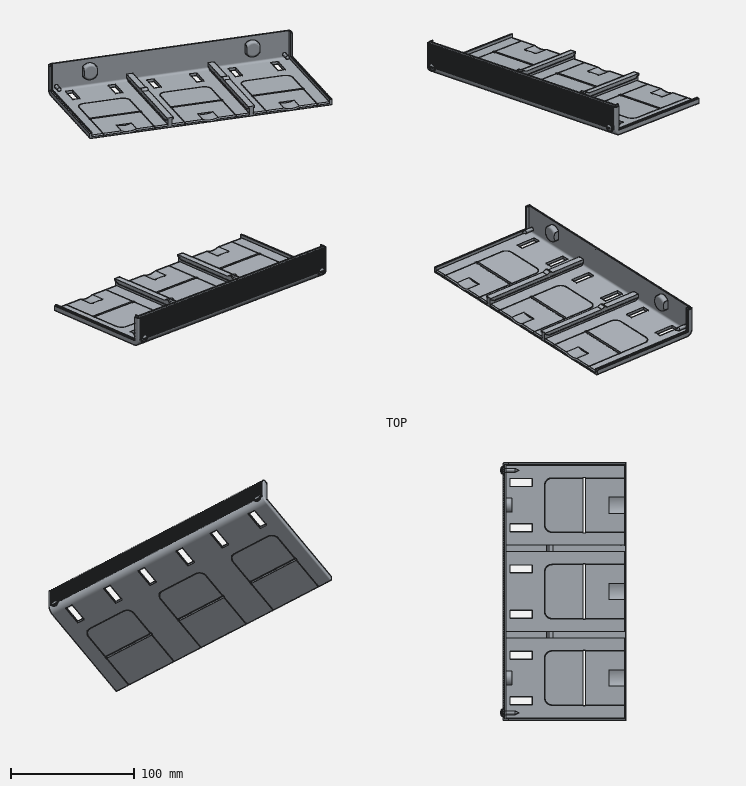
import cadquery as cq
import math


LENGTH = 209.0
DEPTH = 99.7
HEIGHT = 26.8
WALL = 2.5
STEP = 1.35
RIM_Z = HEIGHT - STEP
OUTER_BEND = 5.9
INNER_BEND = 2.0
END_ROUND = 1.3
OPEN_EDGE_CHAMFER = 1.0
END_LAYER_WIDTH = 4.5
TONGUE_WIDTH = 5.2
TONGUE_THICKNESS = 0.8

GROOVE_COUNT = 114
GROOVE_SPAN = 205.0
GROOVE_WIDTH = 1.3
GROOVE_PITCH = (GROOVE_SPAN - GROOVE_WIDTH) / (GROOVE_COUNT - 1)

BAY_PITCH = 70.0
OUTER_BAYS = [-BAY_PITCH, BAY_PITCH]
BAYS = [-BAY_PITCH, 0.0, BAY_PITCH]
DIVIDERS = [-BAY_PITCH / 2, BAY_PITCH / 2]

WINDOW_X = 5.9
WINDOW_LENGTH = 17.8
WINDOW_WIDTH = 6.3
WINDOW_SPACING = 36.8
SLOT_X = 65.0
SLOT_WIDTH = 1.9
SLOT_LENGTH = 44.7

RECESS_LENGTH = 13.5
RECESS_WIDTH = 13.2
RECESS_DEPTH = 1.3

FRAME_X = 33.6
FRAME_WIDTH = 44.3
FRAME_CORNER = 6.3
FRAME_GROOVE = 0.5
FRAME_SKIN = 0.5

CAP_TOP = 8.5
CAP_BOTTOM = 5.0
CAP_WIDTH = 5.5
CAP_TIP_HEIGHT = 1.3
CAP_TAPER = 4.0
WEB_WIDTH = 3.5
TOOTH_X = 35.3
TOOTH_LENGTH = 5.5
TOOTH_HEIGHT = 1.5
TOOTH_SHOULDER_HEIGHT = 1.0
TOOTH_SHOULDER_X = 0.6
TOOTH_PEAK_X = 2.0

BUTTON_RADIUS = 7.0
BUTTON_WIDTH = 11.3
BUTTON_REACH = 7.3
BUTTON_ROUND = 2.0
BUTTON_Z = 16.3

SCREW_ROWS = [-98.2, 98.2]
SCREW_Z = 6.5
PAD_RADIUS = 3.8
HEAD_HEIGHT = 1.9
HEAD_RIM = 0.8
HEAD_RADIUS = 3.0
SHANK_RADIUS = 1.57
SHANK_END = 9.8
POINT_END = 13.0
DRIVE_WIDTH = 1.0
DRIVE_DEPTH = 0.5


def block(x_range, y_range, z_range):
    """Box between pairs of limits."""
    spans = [high - low for low, high in (x_range, y_range, z_range)]
    return cq.Workplane("XY").box(*spans, centered=False).translate((x_range[0], y_range[0], z_range[0]))


def around(centre, width):
    """Limits of a width centred on a place."""
    return (centre - width / 2, centre + width / 2)


def l_bar(panel_width, floor_width, top, length):
    """L-shaped bar with the round heel of the shell, centred on Y = 0."""
    outline = [
        (0, 0),
        (DEPTH, 0),
        (DEPTH, floor_width),
        (panel_width, floor_width),
        (panel_width, top),
        (0, top),
    ]
    bar = cq.Workplane("XZ").polyline(outline).close().extrude(length / 2, both=True)
    return bar.edges("|Y and <X and <Z").fillet(OUTER_BEND)


def cut_recess(body, bay):
    """Shallow round-bottomed finger recess that runs out at the open edge."""
    half = RECESS_WIDTH / 2
    tool = (
        cq.Workplane("YZ", origin=(DEPTH - RECESS_LENGTH, bay, WALL))
        .moveTo(-half, 0)
        .threePointArc((0, -RECESS_DEPTH), (half, 0))
        .close()
        .extrude(RECESS_LENGTH)
    )
    return body.cut(tool)


def make_shell_body():
    """Panel and floor with the finger recesses, the end walls and the lip of the lap joint."""
    inner_corner = cq.selectors.NearestToPointSelector((WALL, 0, WALL))
    body = l_bar(WALL, WALL, RIM_Z, LENGTH)
    body = body.edges(inner_corner).fillet(INNER_BEND)
    for bay in BAYS:
        body = cut_recess(body, bay)
    body = body.faces(">X").edges("not(<Z or |Z)").chamfer(OPEN_EDGE_CHAMFER)

    tongue_length = LENGTH - 2 * STEP
    clear_length = tongue_length - 2 * TONGUE_THICKNESS
    layers = l_bar(END_LAYER_WIDTH, END_LAYER_WIDTH, RIM_Z, LENGTH)
    layers = layers.cut(block((0, DEPTH), around(0, tongue_length), (0, HEIGHT)))
    tongues = l_bar(TONGUE_WIDTH, TONGUE_WIDTH, HEIGHT, tongue_length)
    tongues = tongues.cut(block((0, STEP), around(0, LENGTH), (RIM_Z, HEIGHT)))
    tongues = tongues.cut(block((0, DEPTH), around(0, clear_length), (0, HEIGHT)))
    lip = block((STEP, WALL), around(0, tongue_length), (RIM_Z, HEIGHT))
    body = body.union(layers).union(tongues).union(lip)

    straight_edges = body.faces("<Y or >Y").edges("<X or <Z")
    return straight_edges.fillet(END_ROUND)


def cut_grooves(body):
    """Upright grooves that leave narrow lands on the outer panel face."""
    tool = (
        cq.Workplane("YZ")
        .rarray(GROOVE_PITCH, 2, GROOVE_COUNT, 1)
        .rect(GROOVE_WIDTH, 2 * (RIM_Z - OUTER_BEND))
        .extrude(STEP)
        .translate((0, 0, RIM_Z))
    )
    return body.cut(tool)


def cut_floor_openings(body, bay):
    """Two windows and a cross slot through the floor of a bay."""
    through = (0, WALL)
    window_x = (WINDOW_X, WINDOW_X + WINDOW_LENGTH)
    for window_y in around(bay, WINDOW_SPACING):
        body = body.cut(block(window_x, around(window_y, WINDOW_WIDTH), through))
    slot_x = (SLOT_X, SLOT_X + SLOT_WIDTH)
    return body.cut(block(slot_x, around(bay, SLOT_LENGTH), through))


def frame_block(bay, inset):
    """Round-cornered block that reaches past the open edge, inset from the frame outline."""
    y_range = around(bay, FRAME_WIDTH - 2 * inset)
    solid = block((FRAME_X + inset, 2 * DEPTH), y_range, (0, WALL - FRAME_SKIN))
    return solid.edges("|Z and <X").fillet(FRAME_CORNER - inset)


def cut_frame_groove(body, bay):
    """U-shaped groove in the underside, open at the open edge."""
    return body.cut(frame_block(bay, 0).cut(frame_block(bay, FRAME_GROOVE)))


def add_divider(body, y):
    """T-shaped divider from the panel to the open edge."""
    tooth_end = TOOTH_X + TOOTH_LENGTH
    outline = [
        (STEP, CAP_BOTTOM),
        (DEPTH - CAP_TAPER, CAP_BOTTOM),
        (DEPTH, CAP_TOP - CAP_TIP_HEIGHT),
        (DEPTH, CAP_TOP),
        (tooth_end, CAP_TOP),
        (TOOTH_X + TOOTH_PEAK_X, CAP_TOP + TOOTH_HEIGHT),
        (TOOTH_X + TOOTH_SHOULDER_X, CAP_TOP + TOOTH_SHOULDER_HEIGHT),
        (TOOTH_X, CAP_TOP),
        (STEP, CAP_TOP),
    ]
    cap = cq.Workplane("XZ", origin=(0, y, 0)).polyline(outline).close().extrude(CAP_WIDTH / 2, both=True)
    web_z = (WALL - OPEN_EDGE_CHAMFER, CAP_TOP - CAP_TIP_HEIGHT)
    web = block((WALL, DEPTH), around(y, WEB_WIDTH), web_z)
    return body.union(cap).union(web)


def add_button(body, bay):
    """Round button with a rounded front edge and two flat sides."""
    disc = cq.Workplane("YZ").circle(BUTTON_RADIUS).extrude(BUTTON_REACH - STEP)
    disc = disc.faces(">X").edges().fillet(BUTTON_ROUND)
    limits = cq.Workplane("YZ").rect(BUTTON_WIDTH, 2 * BUTTON_RADIUS).extrude(BUTTON_REACH)
    button = disc.intersect(limits)
    return body.union(button.translate((STEP, bay, BUTTON_Z)))


def add_screw_pad(body, y):
    """Round pad, flush with the panel face, that fills the grooves and the bend under a screw head."""
    pad = cq.Workplane("YZ", origin=(0, y, SCREW_Z)).circle(PAD_RADIUS).extrude(WALL)
    return body.union(pad)


def make_screw(y):
    """Dome-headed screw with a straight drive slot and a pointed shank."""
    dome_height = HEAD_HEIGHT - HEAD_RIM
    dome_radius = (HEAD_RADIUS**2 + dome_height**2) / (2 * dome_height)
    middle_radius = HEAD_RADIUS / 2
    middle_drop = dome_radius - math.sqrt(dome_radius**2 - middle_radius**2)
    half_section = (
        cq.Workplane("XY")
        .moveTo(-HEAD_HEIGHT, 0)
        .threePointArc((middle_drop - HEAD_HEIGHT, middle_radius), (-HEAD_RIM, HEAD_RADIUS))
        .lineTo(0, HEAD_RADIUS)
        .lineTo(0, SHANK_RADIUS)
        .lineTo(SHANK_END, SHANK_RADIUS)
        .lineTo(POINT_END, 0)
        .close()
    )
    turned = half_section.revolve(360, (0, 0, 0), (1, 0, 0))
    drive_x = (-HEAD_HEIGHT, DRIVE_DEPTH - HEAD_HEIGHT)
    drive = block(drive_x, around(0, 2 * HEAD_RADIUS), around(0, DRIVE_WIDTH))
    return turned.cut(drive).translate((0, y, SCREW_Z))


def cut_screw_hole(body, y):
    """Hole through the panel that fits the screw shank."""
    hole = cq.Workplane("YZ", origin=(0, y, SCREW_Z)).circle(SHANK_RADIUS).extrude(SHANK_END)
    return body.cut(hole)


housing = cut_grooves(make_shell_body())
for bay in BAYS:
    housing = cut_floor_openings(housing, bay)
    housing = cut_frame_groove(housing, bay)
for divider in DIVIDERS:
    housing = add_divider(housing, divider)
for bay in OUTER_BAYS:
    housing = add_button(housing, bay)
for row in SCREW_ROWS:
    housing = add_screw_pad(housing, row)
    housing = cut_screw_hole(housing, row)

screws = [make_screw(row) for row in SCREW_ROWS]

result = cq.Compound.makeCompound([housing.val(), *[screw.val() for screw in screws]])